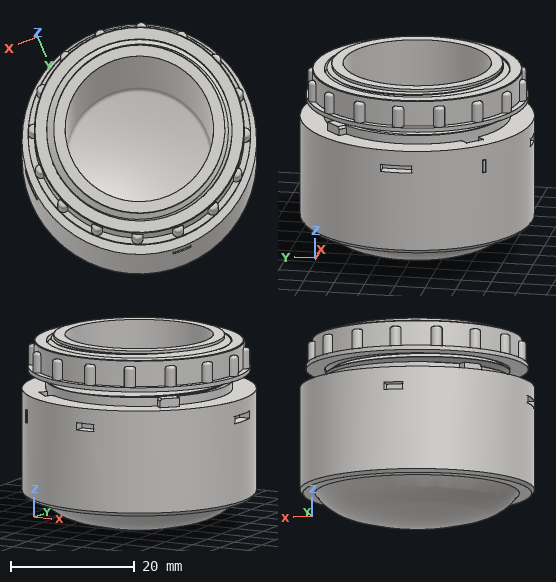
import cadquery as cq
import math

barrel_radius = 19.0
barrel_chamfer_width = 0.45
barrel_chamfer_height = 0.55
barrel_bottom_z = -17.4
dome_rim_radius = 16.55
cap_edge_radius = 11.5
cap_edge_z = -21.0
overall_height = 31.6
neck_top_z = 8.9
dome_bottom_z = neck_top_z - overall_height

collar_radius = 15.15
collar_height = 1.45
neck_radius = 13.85
bore_radius = 12.0
bowl_radius = 11.35
bowl_wall = 2.0
bowl_corner_height = 0.8

thread_pitch = 1.5
thread_crest_radius = 15.0
thread_root_radius = 13.9
thread_crest_z = 1.87
groove_flank_height = 0.68
groove_root_width = 0.06
groove_overshoot = 0.05
lead_angle = math.radians(30)
lead_end_z = 8.45

key_width = 3.3
key_reach = 16.5
key_ramp_width = 0.3
key_ramp_height = 0.4
pocket_depth = 1.0

window_top_z = -2.5
window_height = 1.2
window_depth = 2.0
narrow_window_width = 3.1
wide_window_width = 5.1
mark_width = 0.6
mark_height = 2.1
mark_thickness = 0.2

nut_bottom_z = 2.95
nut_top_z = 7.95
nut_radius = 17.0
nut_chamfer = 0.12
flange_radius = 18.0
flange_height = 0.7
grip_count = 16
grip_radius = 0.92
grip_top_z = 6.95
grip_rounding = 0.45


def spherical_cap_middle(edge_radius, edge_z, pole_z):
    """Point halfway along the arc from a pole on the axis to the cap's edge."""
    rise = edge_z - pole_z
    sphere_radius = (edge_radius**2 + rise**2) / (2 * rise)
    half_angle = math.asin(edge_radius / sphere_radius) / 2
    return (sphere_radius * math.sin(half_angle), pole_z + sphere_radius * (1 - math.cos(half_angle)))


def make_shell():
    """Barrel with its dome and collar, hollowed by the round-bottomed bore."""
    bowl_pole_z = dome_bottom_z + bowl_wall
    bowl_edge_z = cap_edge_z + bowl_wall
    return (
        cq.Workplane("XZ")
        .moveTo(0, dome_bottom_z)
        .threePointArc(
            spherical_cap_middle(cap_edge_radius, cap_edge_z, dome_bottom_z),
            (cap_edge_radius, cap_edge_z),
        )
        .tangentArcPoint((dome_rim_radius, barrel_bottom_z), relative=False)
        .lineTo(barrel_radius - barrel_chamfer_width, barrel_bottom_z)
        .lineTo(barrel_radius, barrel_bottom_z + barrel_chamfer_height)
        .lineTo(barrel_radius, 0)
        .lineTo(collar_radius, 0)
        .lineTo(collar_radius, collar_height)
        .lineTo(bore_radius, collar_height)
        .lineTo(bore_radius, bowl_edge_z + bowl_corner_height)
        .tangentArcPoint((bowl_radius, bowl_edge_z), relative=False)
        .threePointArc(
            spherical_cap_middle(bowl_radius, bowl_edge_z, bowl_pole_z),
            (0, bowl_pole_z),
        )
        .close()
        .revolve(360, (0, 0, 0), (0, 1, 0))
    )


def make_threaded_neck():
    """Tubular neck with a right-hand V groove that leaves the thread, and a lead-in cone on top."""
    lead_drop = (thread_crest_radius - neck_radius) * math.tan(lead_angle)
    blank = (
        cq.Workplane("XZ")
        .polyline(
            [
                (bore_radius, collar_height),
                (thread_crest_radius, collar_height),
                (thread_crest_radius, lead_end_z - lead_drop),
                (neck_radius, lead_end_z),
                (neck_radius, neck_top_z),
                (bore_radius, neck_top_z),
            ]
        )
        .close()
        .revolve(360, (0, 0, 0), (0, 1, 0))
    )
    start_z = thread_crest_z - thread_pitch
    outer_radius = thread_crest_radius + groove_overshoot
    flank_slope = groove_flank_height / (thread_crest_radius - thread_root_radius)
    outer_flank_height = groove_flank_height + groove_overshoot * flank_slope
    root_half_width = groove_root_width / 2
    helix = cq.Wire.makeHelix(thread_pitch, neck_top_z - start_z + 2 * thread_pitch, thread_root_radius)
    groove = (
        cq.Workplane("XZ")
        .polyline(
            [
                (thread_root_radius, -root_half_width),
                (outer_radius, -root_half_width - outer_flank_height),
                (outer_radius, root_half_width + outer_flank_height),
                (thread_root_radius, root_half_width),
            ]
        )
        .close()
        .sweep(cq.Workplane(helix), isFrenet=True)
        .rotate((0, 0, 0), (0, 0, 1), 180)
        .translate((0, 0, start_z))
    )
    return blank.cut(groove)


def make_key():
    """Key on the +X side of the collar with a ramp along the top of its -Y flank."""
    half = key_width / 2
    return (
        cq.Workplane("YZ", origin=(neck_radius, 0, 0))
        .polyline(
            [
                (-half, 0),
                (half, 0),
                (half, collar_height),
                (-half + key_ramp_width, collar_height),
                (-half, collar_height - key_ramp_height),
            ]
        )
        .close()
        .extrude(key_reach - neck_radius)
    )


def make_pocket():
    """Pocket sunk into the barrel's top face along the collar, on the +X side."""
    block = (
        cq.Workplane("XY")
        .box(key_reach, key_width, pocket_depth, centered=(False, True, False))
        .translate((0, 0, -pocket_depth))
    )
    collar_core = cq.Workplane("XY").circle(collar_radius).extrude(-pocket_depth)
    return block.cut(collar_core)


def make_window(width):
    """Cutter for a window through the barrel's surface on the +X side."""
    return cq.Workplane("XY").box(2 * window_depth, width, window_height).translate(
        (barrel_radius, 0, window_top_z - window_height / 2)
    )


def make_mark():
    """Thin raised index mark on the +X side of the barrel."""
    return cq.Workplane("XY").box(2 * mark_thickness, mark_width, mark_height).translate(
        (barrel_radius, 0, window_top_z - mark_height / 2)
    )


def turned(shape, angle):
    """The shape turned about the common axis by an angle in degrees."""
    return shape.rotate((0, 0, 0), (0, 0, 1), angle)


def make_housing():
    """Domed housing with threaded neck, two keys, a pocket, four windows and an index mark."""
    housing = make_shell().union(make_threaded_neck())
    housing = housing.union(turned(make_key(), -45))
    housing = housing.union(turned(make_key().mirror("XZ"), 135))
    housing = housing.cut(turned(make_pocket(), 225))
    for angle in (0, 180):
        housing = housing.cut(turned(make_window(wide_window_width), angle))
        housing = housing.cut(turned(make_window(narrow_window_width), angle + 90))
    return housing.union(turned(make_mark(), 225))


def make_grip():
    """One upright grip rib with a rounded top, on the +X side of the nut."""
    return (
        cq.Workplane("XY", origin=(flange_radius - grip_radius, 0, nut_bottom_z))
        .circle(grip_radius)
        .extrude(grip_top_z - nut_bottom_z)
        .faces(">Z")
        .edges()
        .fillet(grip_rounding)
    )


def make_nut():
    """Flanged ring nut whose plain bore runs on the thread crests."""
    nut = (
        cq.Workplane("XY", origin=(0, 0, nut_bottom_z))
        .circle(nut_radius)
        .extrude(nut_top_z - nut_bottom_z)
        .faces(">Z")
        .edges()
        .chamfer(nut_chamfer)
    )
    flange = cq.Workplane("XY", origin=(0, 0, nut_bottom_z)).circle(flange_radius).extrude(flange_height)
    nut = nut.union(flange)
    for index in range(grip_count):
        nut = nut.union(turned(make_grip(), index * 360 / grip_count))
    bore = cq.Workplane("XY", origin=(0, 0, nut_bottom_z)).circle(thread_crest_radius)
    return nut.cut(bore.extrude(nut_top_z - nut_bottom_z))


housing = make_housing()
nut = make_nut()
result = cq.Compound.makeCompound([housing.val(), nut.val()])